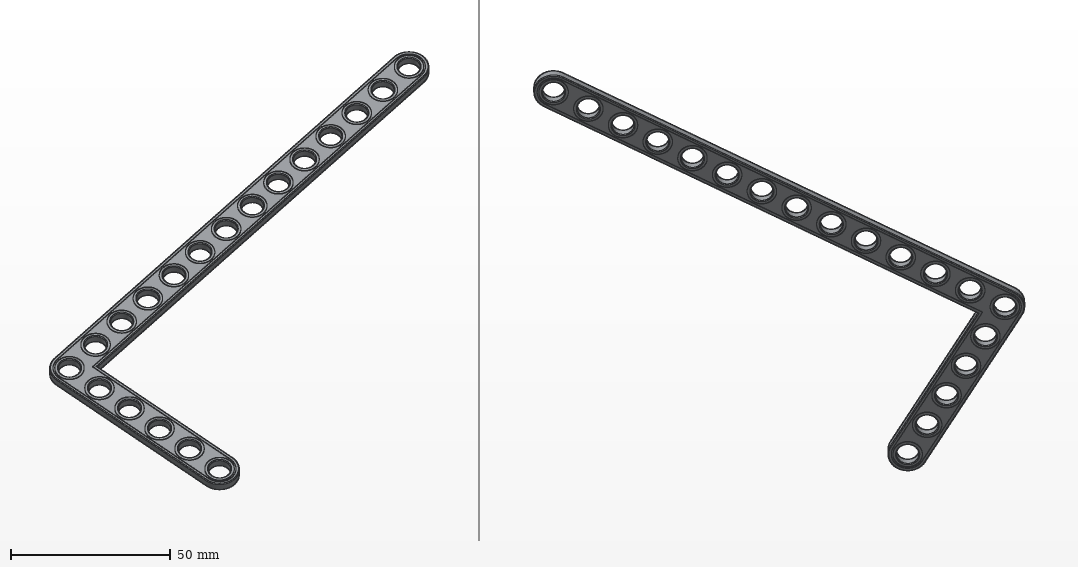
import cadquery as cq

long_side = 175.0
long_arm_holes = 14
short_arm_holes = 6
thickness = 3.2
hole_diameter = 7.0
collar_diameter = 9.3
rim_width = 1.08
recess_depth = 0.21
edge_chamfer = 0.3

pitch = long_side / long_arm_holes
arm_radius = pitch / 2
long_reach = pitch * (long_arm_holes - 1)
short_reach = pitch * (short_arm_holes - 1)

hole_centers = [(0, pitch * i) for i in range(long_arm_holes)]
hole_centers += [(pitch * i, 0) for i in range(1, short_arm_holes)]


def bracket(bottom_z, height, radius):
    """L-shaped slab with a round outer corner and arm ends of the given radius."""
    return (
        cq.Workplane("XY", origin=(0, 0, bottom_z))
        .moveTo(0, -radius)
        .lineTo(short_reach, -radius)
        .threePointArc((short_reach + radius, 0), (short_reach, radius))
        .lineTo(radius, radius)
        .lineTo(radius, long_reach)
        .threePointArc((0, long_reach + radius), (-radius, long_reach))
        .lineTo(-radius, 0)
        .radiusArc((0, -radius), -radius)
        .close()
        .extrude(height)
    )


def cylinders_at_holes(bottom_z, height, diameter):
    """One upright cylinder at every hole position."""
    return (
        cq.Workplane("XY", origin=(0, 0, bottom_z))
        .pushPoints(hole_centers)
        .circle(diameter / 2)
        .extrude(height)
    )


def panel_recess(bottom_z):
    """Shallow pocket inside the rim that leaves a collar around every hole."""
    collars = cylinders_at_holes(bottom_z, recess_depth, collar_diameter)
    return bracket(bottom_z, recess_depth, arm_radius - rim_width).cut(collars)


plate = bracket(0, thickness, arm_radius)
plate = plate.cut(cylinders_at_holes(0, thickness, hole_diameter))
plate = plate.faces("<Z or >Z").edges().chamfer(edge_chamfer)

for recess_bottom in (0, thickness - recess_depth):
    plate = plate.cut(panel_recess(recess_bottom))

result = plate